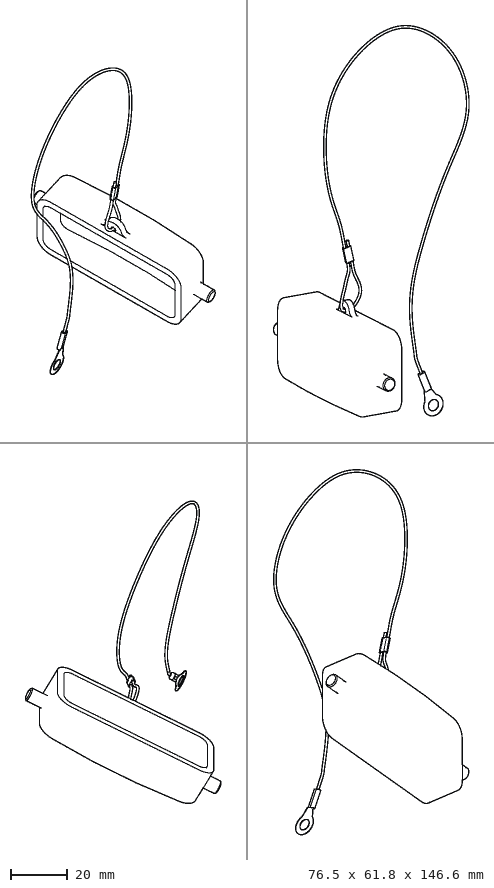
import cadquery as cq
import math

COVER_LENGTH = 62.8
COVER_HEIGHT = 29.9
COVER_CORNER_RADIUS = 6.0
CROWN_PEAK_Y = 15.7
CROWN_END_Y = 14.0
BACK_EDGE_FILLET = 1.2
SIDE_WALL = 2.6
TOP_WALL = 3.1
CAVITY_CORNER_RADIUS = COVER_CORNER_RADIUS - SIDE_WALL
BACK_WALL = 3.8

OVERALL_LENGTH = 76.5
PEG_DIAMETER = 5.0
PEG_CENTER_Y = 9.1
PEG_CENTER_Z = -0.5
PEG_TIP_CHAMFER = 0.5
PEG_ROOT_FILLET = 0.51

LUG_FRONT_Y = 2.6
LUG_THICKNESS = 2.3
LUG_RADIUS = 3.5
LUG_CENTER_RISE = 1.0
LUG_FLARE_RADIUS = 2.0
LUG_HOLE_DIAMETER = 1.9

CABLE_DIAMETER = 1.0
FERRULE_LENGTH = 5.7
FERRULE_WIDTH = 3.0
FERRULE_CENTER = (3.4, 36.5)
FERRULE_TILT = -13
STRAND_OFFSET = 0.8
TAIL_LENGTH = 2.2

RING_CENTER = (-31.9, -25.2)
TERMINAL_TILT = -22.5
RING_DIAMETER = 7.9
RING_HOLE_DIAMETER = 4.1
NECK_START = 3.1
NECK_START_WIDTH = 5.0
CRIMP_START = 6.7
CRIMP_LENGTH = 7.2
CRIMP_WIDTH = 2.6
SHEET_THICKNESS = 0.22

SLEEVE_THICKNESS = CABLE_DIAMETER + 2 * SHEET_THICKNESS
FERRULE_FILLET = 0.3
CRIMP_FILLET = 0.6


def crowned_block(length, height, corner_radius, crown_inset):
    """Rounded rectangle from Y = 0 back to the crown surface moved inward by crown_inset."""
    half_span = COVER_LENGTH / 2
    crown_profile = (
        cq.Workplane("XY")
        .moveTo(-half_span, 0)
        .lineTo(-half_span, CROWN_END_Y - crown_inset)
        .threePointArc((0, CROWN_PEAK_Y - crown_inset), (half_span, CROWN_END_Y - crown_inset))
        .lineTo(half_span, 0)
        .close()
        .extrude(height / 2, both=True)
    )
    outline = (
        cq.Workplane("XZ")
        .rect(length, height)
        .extrude(-CROWN_PEAK_Y)
        .edges("|Y")
        .fillet(corner_radius)
    )
    return outline.intersect(crown_profile)


def make_peg(side):
    """Peg on the end of the cover at X = side * COVER_LENGTH / 2, with a flared root."""
    length = (OVERALL_LENGTH - COVER_LENGTH) / 2
    radius = PEG_DIAMETER / 2
    flare_mid = PEG_ROOT_FILLET * (1 - math.sqrt(0.5))
    peg = (
        cq.Workplane("XY")
        .moveTo(0, 0)
        .lineTo(0, radius + PEG_ROOT_FILLET)
        .threePointArc((flare_mid, radius + flare_mid), (PEG_ROOT_FILLET, radius))
        .lineTo(length - PEG_TIP_CHAMFER, radius)
        .lineTo(length, radius - PEG_TIP_CHAMFER)
        .lineTo(length, 0)
        .close()
        .revolve(360, (0, 0), (1, 0))
    )
    if side < 0:
        peg = peg.mirror("YZ")
    return peg.translate((side * COVER_LENGTH / 2, PEG_CENTER_Y, PEG_CENTER_Z))


def make_lug():
    """Round eyelet blended into the top face by a concave flare on each side."""
    base_z = COVER_HEIGHT / 2
    center_z = base_z + LUG_CENTER_RISE
    flare_rise = LUG_FLARE_RADIUS - LUG_CENTER_RISE
    center_distance = LUG_RADIUS + LUG_FLARE_RADIUS
    flare_x = math.sqrt(center_distance**2 - flare_rise**2)
    flare_z = base_z + LUG_FLARE_RADIUS
    tangent_x = flare_x * LUG_RADIUS / center_distance
    tangent_z = center_z + flare_rise * LUG_RADIUS / center_distance
    tangent_angle = math.atan2(tangent_z - flare_z, flare_x - tangent_x)
    mid_angle = (tangent_angle - math.pi / 2) / 2
    mid_x = flare_x - LUG_FLARE_RADIUS * math.cos(mid_angle)
    mid_z = flare_z + LUG_FLARE_RADIUS * math.sin(mid_angle)
    return (
        cq.Workplane("XZ", origin=(0, LUG_FRONT_Y, 0))
        .moveTo(-flare_x, base_z)
        .threePointArc((-mid_x, mid_z), (-tangent_x, tangent_z))
        .threePointArc((0, center_z + LUG_RADIUS), (tangent_x, tangent_z))
        .threePointArc((mid_x, mid_z), (flare_x, base_z))
        .close()
        .moveTo(0, center_z)
        .circle(LUG_HOLE_DIAMETER / 2)
        .extrude(-LUG_THICKNESS)
    )


def make_cover():
    """Hollow crowned box with both pegs and the lug as one solid."""
    cover = crowned_block(COVER_LENGTH, COVER_HEIGHT, COVER_CORNER_RADIUS, 0)
    cover = cover.faces(">Y").edges().fillet(BACK_EDGE_FILLET)
    cavity = crowned_block(
        COVER_LENGTH - 2 * SIDE_WALL,
        COVER_HEIGHT - 2 * TOP_WALL,
        CAVITY_CORNER_RADIUS,
        BACK_WALL,
    )
    cover = cover.cut(cavity)
    for side in (-1, 1):
        cover = cover.union(make_peg(side))
    return cover.union(make_lug())


def place(body, center, tilt):
    """Tilt a body about X and move its origin to a (Y, Z) position."""
    return body.rotate((0, 0, 0), (1, 0, 0), tilt).translate((0, *center))


def placed_point(across, along, center, tilt):
    """The point that place() gives for local coordinates Y = across, Z = along."""
    angle = math.radians(tilt)
    y = center[0] + across * math.cos(angle) - along * math.sin(angle)
    z = center[1] + across * math.sin(angle) + along * math.cos(angle)
    return cq.Vector(0, y, z)


def make_sleeve(width, length, edge_fillet):
    """Flattened sleeve blank centred on the origin, long axis along Z."""
    return cq.Workplane("XY").box(SLEEVE_THICKNESS, width, length).edges("|Z").fillet(edge_fillet)


def make_cable():
    """Cable from its short tail, down round the lug, up over the big loop and into the crimp."""
    half_ferrule = FERRULE_LENGTH / 2
    ferrule = (FERRULE_CENTER, FERRULE_TILT)
    tail_end = placed_point(-STRAND_OFFSET, half_ferrule + TAIL_LENGTH, *ferrule)
    tail_exit = placed_point(-STRAND_OFFSET, -half_ferrule, *ferrule)
    main_entry = placed_point(STRAND_OFFSET, -half_ferrule, *ferrule)
    main_exit = placed_point(STRAND_OFFSET, half_ferrule, *ferrule)
    crimp_entry = placed_point(0, CRIMP_START + CRIMP_LENGTH, RING_CENTER, TERMINAL_TILT)
    crimp_end = placed_point(0, CRIMP_START, RING_CENTER, TERMINAL_TILT)

    lug_loop = [
        (0.9, 29.1),
        (-1.2, 24.6),
        (-1.6, 22.0),
        (-0.7, 19.3),
        (2.0, 16.4),
        (3.8, 15.8),
        (5.5, 16.1),
        (6.2, 17.5),
        (6.0, 19.8),
        (5.0, 23.6),
        (3.8, 28.0),
    ]
    big_loop = [
        (6.5, 46.7),
        (9.7, 56.2),
        (12.9, 77.6),
        (10.1, 95.2),
        (-0.3, 109.7),
        (-17.9, 116.9),
        (-32.5, 110.7),
        (-43.8, 94.6),
        (-45.4, 80.7),
        (-38.1, 62.5),
        (-26.5, 34.1),
        (-22.4, 8.6),
        (-24.2, -5.1),
    ]

    def spline(start, points, end, tangents):
        through = [start] + [cq.Vector(0, y, z) for y, z in points] + [end]
        return cq.Edge.makeSpline(through, tangents=tangents)

    down_ferrule = tail_exit - tail_end
    up_ferrule = main_exit - main_entry
    into_crimp = crimp_end - crimp_entry
    path = cq.Wire.assembleEdges([
        cq.Edge.makeLine(tail_end, tail_exit),
        spline(tail_exit, lug_loop, main_entry, [down_ferrule.normalized(), up_ferrule.normalized()]),
        cq.Edge.makeLine(main_entry, main_exit),
        spline(main_exit, big_loop, crimp_entry, [up_ferrule.normalized(), into_crimp.normalized()]),
        cq.Edge.makeLine(crimp_entry, crimp_end),
    ])
    start_plane = cq.Plane(origin=tail_end.toTuple(), xDir=(1, 0, 0), normal=down_ferrule.toTuple())
    return cq.Workplane(start_plane).circle(CABLE_DIAMETER / 2).sweep(cq.Workplane(path))


def make_ferrule(cable):
    """Flattened sleeve bored through by the two cable strands it clamps."""
    blank = place(make_sleeve(FERRULE_WIDTH, FERRULE_LENGTH, FERRULE_FILLET), FERRULE_CENTER, FERRULE_TILT)
    return blank.cut(cable)


def make_terminal(cable):
    """Sheet ring and tapered neck on the +X side of a flattened crimp sleeve."""
    sheet = cq.Workplane("YZ", origin=(SLEEVE_THICKNESS / 2 - SHEET_THICKNESS, 0, 0))
    ring = sheet.circle(RING_DIAMETER / 2).extrude(SHEET_THICKNESS)
    neck_end_half_width = CRIMP_WIDTH / 2
    neck = (
        sheet.moveTo(-NECK_START_WIDTH / 2, NECK_START)
        .lineTo(-neck_end_half_width, CRIMP_START)
        .lineTo(neck_end_half_width, CRIMP_START)
        .lineTo(NECK_START_WIDTH / 2, NECK_START)
        .lineTo(0, 0)
        .close()
        .extrude(SHEET_THICKNESS)
    )
    hole = sheet.circle(RING_HOLE_DIAMETER / 2).extrude(SHEET_THICKNESS)
    crimp = make_sleeve(CRIMP_WIDTH, CRIMP_LENGTH, CRIMP_FILLET)
    crimp = crimp.translate((0, 0, CRIMP_START + CRIMP_LENGTH / 2))
    terminal = ring.union(neck).cut(hole).union(crimp)
    return place(terminal, RING_CENTER, TERMINAL_TILT).cut(cable)


cover = make_cover()
cable = make_cable()
ferrule = make_ferrule(cable)
terminal = make_terminal(cable)

bodies = [cover, cable, ferrule, terminal]
result = cq.Compound.makeCompound([body.solids().val() for body in bodies])